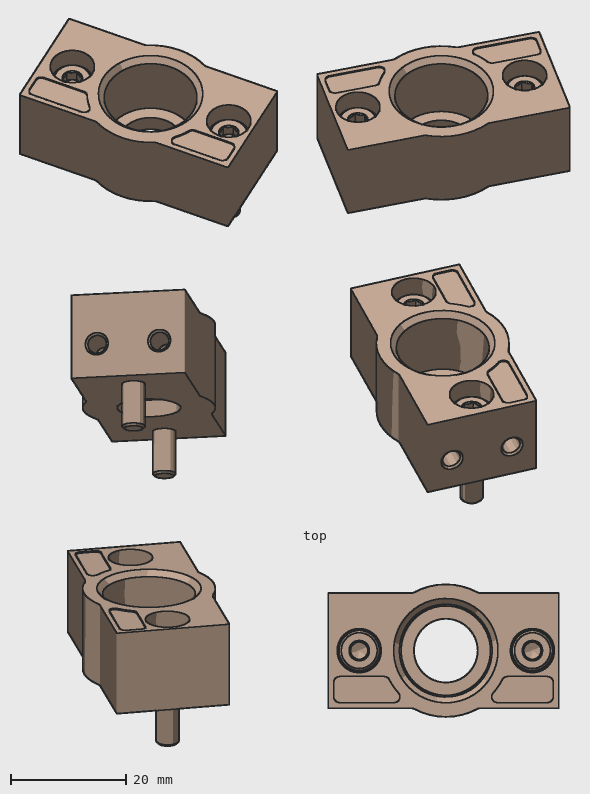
import cadquery as cq
import math


block_length = 40.0
block_width = 20.0
block_height = 15.0
bore_offset = 0.4
left_end = -block_length / 2 - bore_offset
right_end = left_end + block_length
front_side = -block_width / 2
corner_radius = 0.2

boss_diameter = 23.0
boss_blend_radius = 1.0

through_diameter = 11.0
bore_depth = 12.0
bore_floor_diameter = 15.5
bore_neck_diameter = 16.1
bore_chamfer = 1.0

screw_spacing = 30.0
shank_diameter = 4.0
shank_protrusion = 8.0
tip_chamfer = 0.4
head_diameter = 7.0
head_height = 4.0
head_chamfer = 0.4
head_recess = 3.0
hex_across_flats = 3.0
hex_depth = 2.0
hex_mouth_diameter = 3.5
drill_point_half_angle = 59.0

counterbore_depth = head_recess + head_height
counterbore_floor_diameter = 7.4
counterbore_mouth_diameter = 7.65
head_seat_z = block_height - counterbore_depth

end_hole_spacing = 11.0
end_hole_z = 6.0
end_hole_diameter = 3.25
end_hole_mouth_diameter = 4.0
end_hole_depth = 8.0

label_margin = 1.0
label_top_y = -4.5
label_depth = 0.25
label_arc_radius = 11.0
label_corner_radius = 1.0


def revolve_profile(points):
    """Revolve a closed (radius, height) profile around the Z axis."""
    return cq.Workplane("XZ").polyline(points).close().revolve(360, (0, 0, 0), (0, 1, 0))


def drill_point_length(diameter):
    """Length of the conical end of a drilled hole."""
    return diameter / 2 / math.tan(math.radians(drill_point_half_angle))


def make_block():
    """Rectangular block blended into the round boss around the bore."""
    block = (
        cq.Workplane("XY")
        .box(block_length, block_width, block_height, centered=(True, True, False))
        .translate((-bore_offset, 0, 0))
        .edges("|Z")
        .fillet(corner_radius)
    )
    boss = cq.Workplane("XY").circle(boss_diameter / 2).extrude(block_height)
    half_chord = math.sqrt((boss_diameter / 2) ** 2 - (block_width / 2) ** 2)
    margin = 0.4
    boss_corners = cq.selectors.BoxSelector(
        (-half_chord - margin, -block_width / 2 - margin, -margin),
        (half_chord + margin, block_width / 2 + margin, block_height + margin),
    )
    return block.union(boss).edges("|Z").edges(boss_corners).fillet(boss_blend_radius)


def make_bore():
    """Tapered bore with a chamfered mouth and a smaller hole through its floor."""
    floor_z = block_height - bore_depth
    chamfer_z = block_height - bore_chamfer
    neck_radius = bore_neck_diameter / 2
    return revolve_profile([
        (0, 0),
        (through_diameter / 2, 0),
        (through_diameter / 2, floor_z),
        (bore_floor_diameter / 2, floor_z),
        (neck_radius, chamfer_z),
        (neck_radius + bore_chamfer, block_height),
        (0, block_height),
    ])


def make_screw_hole():
    """Shank hole under a tapered counterbore."""
    return revolve_profile([
        (0, 0),
        (shank_diameter / 2, 0),
        (shank_diameter / 2, head_seat_z),
        (counterbore_floor_diameter / 2, head_seat_z),
        (counterbore_mouth_diameter / 2, block_height),
        (0, block_height),
    ])


def make_end_hole():
    """Countersunk blind hole with a drill point, its mouth at Z = 0, pointing along -Z."""
    radius = end_hole_diameter / 2
    mouth_radius = end_hole_mouth_diameter / 2
    return revolve_profile([
        (0, 0),
        (mouth_radius, 0),
        (radius, radius - mouth_radius),
        (radius, -end_hole_depth),
        (0, -end_hole_depth - drill_point_length(end_hole_diameter)),
    ])


def make_label_pocket(end_x):
    """Label pocket between the bore and the block end at end_x."""
    side = math.copysign(1, end_x)
    outer_x = end_x - side * label_margin
    bottom_y = front_side + label_margin

    def on_arc(y):
        return (side * math.sqrt(label_arc_radius**2 - y**2), y)

    return (
        cq.Workplane("XY", origin=(0, 0, block_height - label_depth))
        .moveTo(outer_x, bottom_y)
        .lineTo(*on_arc(bottom_y))
        .threePointArc(on_arc((bottom_y + label_top_y) / 2), on_arc(label_top_y))
        .lineTo(outer_x, label_top_y)
        .close()
        .extrude(label_depth)
        .edges("|Z")
        .fillet(label_corner_radius)
    )


def make_housing():
    housing = make_block().cut(make_bore())
    for x in (-screw_spacing / 2, screw_spacing / 2):
        housing = housing.cut(make_screw_hole().translate((x, 0, 0)))
    for y in (-end_hole_spacing / 2, end_hole_spacing / 2):
        end_hole = make_end_hole().rotate((0, 0, 0), (0, 1, 0), -90)
        housing = housing.cut(end_hole.translate((left_end, y, end_hole_z)))
    for end_x in (left_end, right_end):
        housing = housing.cut(make_label_pocket(end_x))
    return housing


def make_socket(top_z):
    """Hexagon socket with a countersunk mouth and a conical bottom."""
    flat_radius = hex_across_flats / 2
    mouth_radius = hex_mouth_diameter / 2
    hexagon = (
        cq.Workplane("XY", origin=(0, 0, top_z))
        .polygon(6, hex_across_flats, circumscribed=True)
        .extrude(-hex_depth)
    )
    round_part = revolve_profile([
        (0, top_z),
        (mouth_radius, top_z),
        (flat_radius, top_z - (mouth_radius - flat_radius)),
        (flat_radius, top_z - hex_depth),
        (0, top_z - hex_depth - drill_point_length(hex_across_flats)),
    ])
    return hexagon.union(round_part)


def make_screw():
    """Socket head cap screw on the Z axis, seated in its counterbore."""
    head_top_z = head_seat_z + head_height
    shank_radius = shank_diameter / 2
    head_radius = head_diameter / 2
    body = revolve_profile([
        (0, -shank_protrusion),
        (shank_radius - tip_chamfer, -shank_protrusion),
        (shank_radius, tip_chamfer - shank_protrusion),
        (shank_radius, head_seat_z),
        (head_radius, head_seat_z),
        (head_radius, head_top_z - head_chamfer),
        (head_radius - head_chamfer, head_top_z),
        (0, head_top_z),
    ])
    return body.cut(make_socket(head_top_z))


housing = make_housing()
screws = [make_screw().translate((x, 0, 0)) for x in (-screw_spacing / 2, screw_spacing / 2)]

result = cq.Compound.makeCompound([housing.val(), *[screw.val() for screw in screws]])